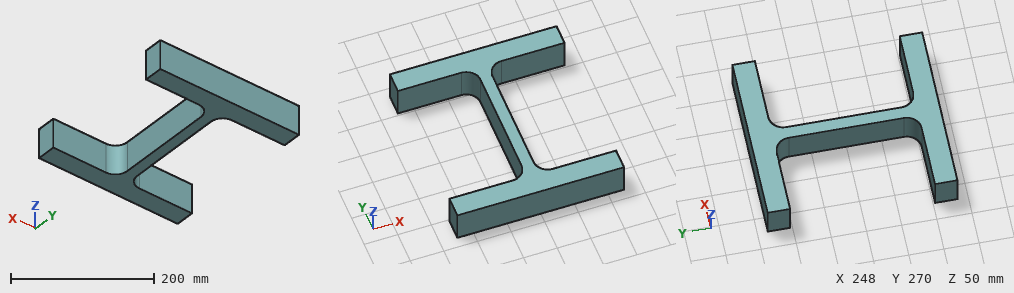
import cadquery as cq

section_depth = 270.0
flange_width = 248.0
flange_thickness = 32.0
web_thickness = 18.0
root_radius = 21.0
beam_length = 50.0

clear_web_depth = section_depth - 2 * flange_thickness
flange_offset = (section_depth - flange_thickness) / 2


def make_web():
    """Web plate joining the inner faces of the two flanges."""
    return cq.Workplane("XY").rect(web_thickness, clear_web_depth).extrude(beam_length)


def make_flange(side):
    """Flange plate on the +Y (side = 1) or -Y (side = -1) end of the web."""
    return (
        cq.Workplane("XY")
        .center(0, side * flange_offset)
        .rect(flange_width, flange_thickness)
        .extrude(beam_length)
    )


def round_roots(beam):
    """Fillet the four inside corners where the web meets the flanges."""
    root_zone = cq.selectors.BoxSelector(
        (-web_thickness, -section_depth / 2, 0),
        (web_thickness, section_depth / 2, beam_length),
    )
    return beam.edges("|Z").edges(root_zone).fillet(root_radius)


beam = make_web()
for side in (-1, 1):
    beam = beam.union(make_flange(side))

result = round_roots(beam)